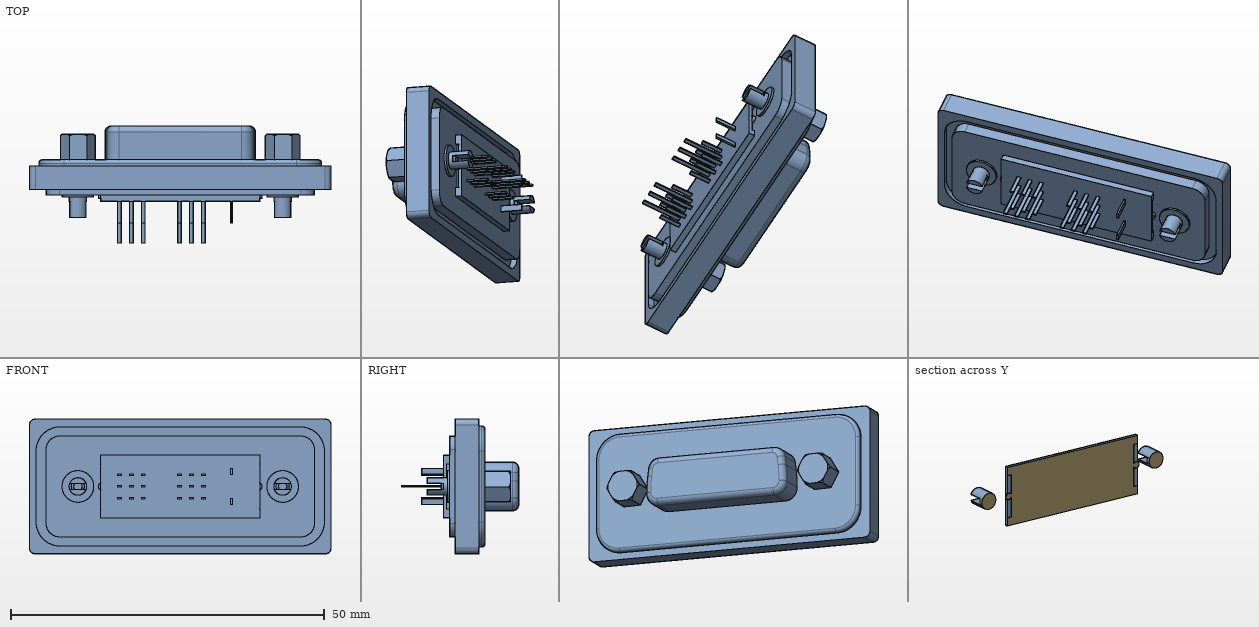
import cadquery as cq
import math


flange_length = 48.1
flange_height = 21.5
flange_depth = 3.8
flange_corner = 0.95

moat_length = 45.95
moat_height = 19.0
moat_corner = 3.85
moat_depth = 1.0
block_length = 42.75
block_height = 16.05
block_corner = 2.15
block_front = -0.85

gasket_length = 45.05
gasket_height = 19.35
gasket_depth = 0.95
gasket_corner = 4.05
gasket_edge_round = 0.6

shell_half_width = 12.0
shell_half_height = 3.9
shell_bend_z = -0.45
shell_bend_radius = 22.15
shell_side_lean = 7.0
shell_top_corner = 1.88
shell_bottom_corner = 2.05
shell_edge_round = 1.0
shell_back = 10.15

carrier_length = 25.4
carrier_height = 10.0
carrier_depth = 1.0
carrier_front = block_front - carrier_depth
notch_height = 7.1
notch_gap = 0.5
notch_depth = 0.7
tab_radius = 0.6
tab_overhang = 0.35
tab_depth = 0.55

pin_width = 0.63
pin_thickness = 0.25
pin_group_span = 3.8
pin_pitch = pin_group_span / 2
row_pitch = 1.88
pin_group_centers = (-7.8, 1.8)
short_pin_end = -5.35
long_pin_end = -8.5
blade_x = 8.2
blade_offset_z = 2.4
blade_thickness = 0.3
blade_height = 0.95

screw_x = 16.3
hex_corner_diameter = 5.6
hex_back = 8.85
hex_chamfer = 0.3
hex_turn = 1.5
washer_diameter = 5.05
washer_depth = 0.35
stud_diameter = 2.8
stud_end = -4.45
slot_width = 1.0
slot_floor = -1.88
cone_base_radius = 1.05
cone_tip_radius = 0.65
cone_height = 0.35


def plane_at(y, x=0.0):
    """Plane across Y at the given place, with local axes X and Z, facing -Y."""
    return cq.Workplane("XZ", origin=(x, y, 0))


def box(length, height, back, front, x=0.0, z=0.0):
    """Rectangular bar running along Y from its back to its front."""
    return plane_at(back, x).center(0, z).rect(length, height).extrude(back - front)


def rounded_plate(length, height, corner, back, front):
    return box(length, height, back, front).edges("|Y").fillet(corner)


def cylinder(diameter, back, front, x=0.0):
    return plane_at(back, x).circle(diameter / 2).extrude(back - front)


def make_flange():
    flange = rounded_plate(flange_length, flange_height, flange_corner, flange_depth, 0)
    moat = rounded_plate(moat_length, moat_height, moat_corner, moat_depth, 0)
    block = rounded_plate(block_length, block_height, block_corner, moat_depth, block_front)
    return flange.cut(moat).union(block)


def shell_bar(back):
    """Shell with upright lower sides and upper sides that bend gently inward."""
    lean_run = (shell_half_height - shell_bend_z) * math.tan(math.radians(shell_side_lean))
    top_half_width = shell_half_width - lean_run
    outline = [
        (-shell_half_width, -shell_half_height),
        (shell_half_width, -shell_half_height),
        (shell_half_width, shell_bend_z),
        (top_half_width, shell_half_height),
        (-top_half_width, shell_half_height),
        (-shell_half_width, shell_bend_z),
    ]
    bar = plane_at(back).polyline(outline).close().extrude(back - flange_depth)
    bar = bar.edges("|Y").edges(">X or <X").edges(">Z").fillet(shell_bend_radius)
    bar = bar.edges("|Y").edges(">Z").fillet(shell_top_corner)
    return bar.edges("|Y").edges("<Z").fillet(shell_bottom_corner)


def make_shell():
    return shell_bar(shell_back).faces(">Y").edges().fillet(shell_edge_round)


def make_carrier():
    """Pin carrier, undercut at both ends, with a rounded tab showing in each undercut."""
    carrier = box(carrier_length, carrier_height, block_front, carrier_front)
    for side in (-1, 1):
        notch_x = side * (carrier_length - notch_depth) / 2
        notch = box(notch_depth, notch_height, block_front, block_front - notch_gap, notch_x)
        tab_x = side * (carrier_length / 2 + tab_overhang - tab_radius)
        tab = cylinder(2 * tab_radius, block_front, block_front - tab_depth, tab_x)
        carrier = carrier.cut(notch).union(tab)
    return carrier


def add_pins(body):
    """Two 3 x 3 groups of pins, whose middle rows are longer, and two upright blades."""
    for group_x in pin_group_centers:
        for column in (-1, 0, 1):
            for row in (-1, 0, 1):
                end = long_pin_end if row == 0 else short_pin_end
                x = group_x + column * pin_pitch
                body = body.union(box(pin_width, pin_thickness, carrier_front, end, x, row * row_pitch))
    for z in (-blade_offset_z, blade_offset_z):
        body = body.union(box(blade_thickness, blade_height, carrier_front, short_pin_end, blade_x, z))
    return body


def hex_bar(side, back):
    """Hexagonal post on the left (-1) or right (1), turned slightly about its axis."""
    x = side * screw_x
    post = plane_at(back, x).polygon(6, hex_corner_diameter).extrude(back - flange_depth)
    return post.rotate((x, 0, 0), (x, 1, 0), hex_turn)


def make_hex_post(side):
    """Hexagonal post with its end corners turned down to a cone."""
    turned = cylinder(hex_corner_diameter, hex_back, flange_depth, side * screw_x)
    turned = turned.faces(">Y").chamfer(hex_chamfer)
    return hex_bar(side, hex_back).intersect(turned)


def make_stud(side):
    """Washer and slotted stud, with a blunt cone on the floor of the slot."""
    x = side * screw_x
    washer = cylinder(washer_diameter, block_front, block_front - washer_depth, x)
    slot = box(stud_diameter, slot_width, slot_floor, stud_end, x)
    stud = cylinder(stud_diameter, block_front, stud_end, x).cut(slot)
    cone = plane_at(slot_floor, x).circle(cone_base_radius)
    cone = cone.workplane(offset=cone_height).circle(cone_tip_radius).loft()
    return washer.union(stud).union(cone.intersect(slot))


def make_housing():
    housing = make_flange().union(make_shell()).union(make_carrier())
    for side in (-1, 1):
        housing = housing.union(make_hex_post(side)).union(make_stud(side))
    return add_pins(housing)


def make_gasket():
    """Sheet gasket fitted around the shell and the two hexagonal posts."""
    gasket_back = flange_depth + gasket_depth
    gasket = rounded_plate(gasket_length, gasket_height, gasket_corner, gasket_back, flange_depth)
    gasket = gasket.faces(">Y").edges().fillet(gasket_edge_round)
    gasket = gasket.cut(shell_bar(gasket_back))
    for side in (-1, 1):
        gasket = gasket.cut(hex_bar(side, gasket_back))
    return gasket


housing = make_housing()
gasket = make_gasket()
result = cq.Compound.makeCompound([housing.val(), gasket.val()])